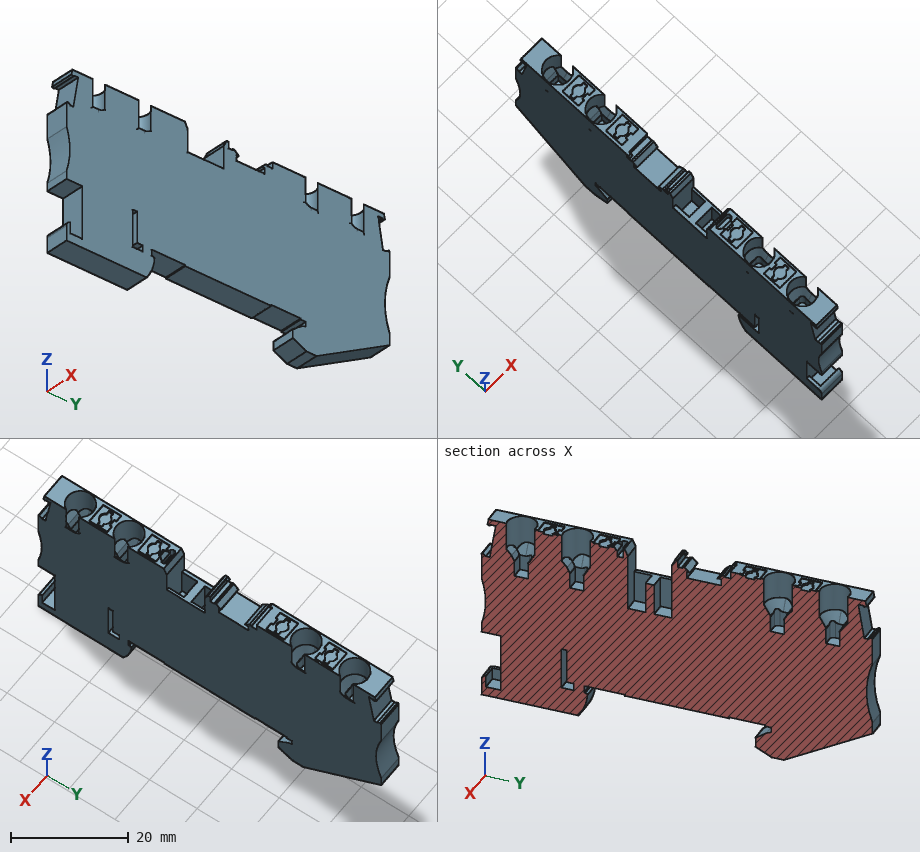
import cadquery as cq

WIDTH = 5.1
HALF_LENGTH = 36.1
HEIGHT = 35.2

INSERT_X = 2.7

LIP_Y = 35.0
LIP_TOP_Y = 34.8
LIP_BOTTOM = 34.15
LIP_BEAD_Y = 34.6
LIP_BEAD_Z = 33.9
BEAD_SIZE = 0.2
NECK_TOP_Y = 33.5
NECK_BOTTOM_Y = 34.6
STEP_Z = 27.8
STEP_Y = 35.2
LATCH_Z = 28.2
LATCH_Y = 35.9
LATCH_CHAMFER = 0.2

FRONT_HOLLOW = (14.2, 23.2, 0.7)
REAR_HOLLOW = (11.4, 22.95, 1.1)

UNDERSIDE_START_Z = 9.1
HOOK_FLAT_START_Y = 19.7
HOOK_FLAT_END_Y = 17.5
HOOK_NOSE_Y = 14.45
HOOK_NOSE_BOTTOM = 1.45
HOOK_NOSE_TOP = 3.25
HOOK_BREAK = (16.45, 4.7)
HOOK_ROOT = (17.3, 5.05)

SOFFIT_Z = 6.15
SOFFIT_PAD_Z = 5.9
SOFFIT_PAD_Y = 9.6
SOFFIT_STEP_Y = 16.2
SLOT_TOP = 12.5
SLOT_INNER_Y = -20.35
SLOT_OUTER_Y = -21.3
FOOT_TOP = 4.9
FOOT_TOP_Y = -16.9
FOOT_TIP = (-16.45, 4.6)
FOOT_CURVE_MIDDLE = (-17.05, 2.0)
FOOT_HEEL_Y = -18.2
NOTCH_Y = -32.55
NOTCH_BOTTOM = 4.0
TOE_ROUND = 0.9
TROUGH_WALL = 0.65
TROUGH_DEPTH = 2.2
LINK_START_X = 1.8
LINK_Y = -17.1
LINK_LENGTH = 1.95

MARKER_FLOOR = 32.1
MARKER_SHELF = 33.9
MARKER_BEAD_TOP = 34.15
MARKER_BEAD_TIP = 33.3
FRONT_BEAD_BACK_Y = 1.0
FRONT_BEAD_CREST_Y = 1.4
FRONT_BEAD_TIP_Y = 2.4
FRONT_MARKER_WALL_Y = 1.9
REAR_MARKER_WALL_Y = 8.15
REAR_BEAD_TIP_Y = 7.45
REAR_BEAD_CREST_Y = 8.4
REAR_BEAD_BACK_Y = 8.8
FRONT_LIP_TOP_Y = 0.1
REAR_LIP_TOP_Y = 9.45
LIP_TIP_Z = 34.8
FRONT_LIP_WALL_Y = 0.15
FRONT_LIP_TIP_Y = 0.6
REAR_LIP_TIP_Y = 9.1
REAR_LIP_WALL_Y = 9.9
LIP_TAB_WIDTH = 0.65
RECESS_START_Y = -1.0
RECESS_END_Y = -9.0
RECESS_FLOOR = 29.3
RECESS_CHAMFER = 0.65
WINDOW_WIDTH = 3.9
WINDOW_DEPTH = 5.8
BRIDGE_START_Y = -4.2
BRIDGE_END_Y = -5.8

PITCH = 10.25
INNER_FUNNEL_Y = 18.6
INNER_BUTTON_Y = INNER_FUNNEL_Y - PITCH / 2
FUNNEL_X = 2.8
FUNNEL_RADIUS = 2.7
FUNNEL_STRAIGHT = 5.05
FUNNEL_TAPER = 2.2
BORE_WIDTH = 2.95
BORE_INNER = 1.4
BORE_OUTER = 1.1
BORE_ROUND = 0.7
RAMP_BREAK = 1.65
BORE_DEPTH = 2.9
BUTTON_WIDTH = 4.05
BUTTON_LENGTH = 3.75
BUTTON_RECESS = 0.15
NIB_WIDTH = 1.3
NIB_LENGTH = 0.4
DRIVE_DEPTH = 0.35
DRIVE_RADIUS = 1.1
DRIVE_SLOT = 0.9
DRIVE_SLOT_LENGTH = 3.3

TEST_WIDTH = 3.2
TEST_START_Y = -9.95
TEST_END_Y = -11.0
TEST_TIP_Y = -11.7
TEST_TIP_WIDTH = 1.4
TEST_DEPTH = 1.8
TEST_RAMP_DEPTH = 0.7
TEST_ROUND = 0.35


def end_points(side):
    """Lip, neck and latch step from the top face down, for the end at side * Y."""
    points = [
        (LIP_TOP_Y, HEIGHT),
        (LIP_Y, LIP_BOTTOM),
        (LIP_BEAD_Y, LIP_BEAD_Z),
        (LIP_BEAD_Y - BEAD_SIZE, LIP_BOTTOM),
        (NECK_TOP_Y, LIP_BOTTOM),
        (NECK_BOTTOM_Y, STEP_Z),
        (STEP_Y, STEP_Z),
        (LATCH_Y, LATCH_Z),
        (HALF_LENGTH, LATCH_Z - LATCH_CHAMFER),
    ]
    return [(side * y, z) for y, z in points]


def add_lines(outline, points):
    """Continue an outline with straight lines through the points."""
    for point in points:
        outline = outline.lineTo(*point)
    return outline


def body():
    """Slab with the full side outline, running once round from the sloping underside."""
    front_bottom, front_top, front_depth = FRONT_HOLLOW
    rear_bottom, rear_top, rear_depth = REAR_HOLLOW
    marker_and_recess = [
        (RECESS_END_Y - RECESS_CHAMFER, HEIGHT),
        (RECESS_END_Y, MARKER_SHELF),
        (RECESS_END_Y, RECESS_FLOOR),
        (RECESS_START_Y, RECESS_FLOOR),
        (RECESS_START_Y, MARKER_SHELF),
        (RECESS_START_Y + RECESS_CHAMFER, HEIGHT),
        (FRONT_LIP_TOP_Y, HEIGHT),
        (FRONT_LIP_TIP_Y, LIP_TIP_Z),
        (FRONT_LIP_WALL_Y, LIP_TIP_Z),
        (FRONT_LIP_WALL_Y, MARKER_SHELF),
        (FRONT_BEAD_BACK_Y, MARKER_SHELF),
        (FRONT_BEAD_BACK_Y, MARKER_BEAD_TOP),
        (FRONT_BEAD_CREST_Y, MARKER_BEAD_TOP),
        (FRONT_BEAD_TIP_Y, MARKER_BEAD_TIP),
        (FRONT_MARKER_WALL_Y, MARKER_BEAD_TIP),
        (FRONT_MARKER_WALL_Y, MARKER_FLOOR),
        (REAR_MARKER_WALL_Y, MARKER_FLOOR),
        (REAR_MARKER_WALL_Y, MARKER_BEAD_TIP),
        (REAR_BEAD_TIP_Y, MARKER_BEAD_TIP),
        (REAR_BEAD_CREST_Y, MARKER_BEAD_TOP),
        (REAR_BEAD_BACK_Y, MARKER_BEAD_TOP),
        (REAR_BEAD_BACK_Y, MARKER_SHELF),
        (REAR_LIP_WALL_Y, MARKER_SHELF),
        (REAR_LIP_WALL_Y, LIP_TIP_Z),
        (REAR_LIP_TIP_Y, LIP_TIP_Z),
        (REAR_LIP_TOP_Y, HEIGHT),
    ]
    outline = cq.Workplane("YZ").moveTo(HALF_LENGTH, UNDERSIDE_START_Z)
    outline = add_lines(outline, [
        (HOOK_FLAT_START_Y, 0),
        (HOOK_FLAT_END_Y, 0),
        (HOOK_NOSE_Y, HOOK_NOSE_BOTTOM),
        (HOOK_NOSE_Y, HOOK_NOSE_TOP),
        HOOK_BREAK,
        HOOK_ROOT,
    ])
    outline = add_lines(outline, [
        (HOOK_ROOT[0], SOFFIT_PAD_Z),
        (SOFFIT_STEP_Y, SOFFIT_PAD_Z),
        (SOFFIT_STEP_Y, SOFFIT_Z),
        (SOFFIT_PAD_Y, SOFFIT_Z),
        (SOFFIT_PAD_Y, SOFFIT_PAD_Z),
        (-SOFFIT_PAD_Y, SOFFIT_PAD_Z),
        (-SOFFIT_PAD_Y, SOFFIT_Z),
        (SLOT_INNER_Y, SOFFIT_Z),
        (SLOT_INNER_Y, SLOT_TOP),
        (SLOT_OUTER_Y, SLOT_TOP),
        (SLOT_OUTER_Y, FOOT_TOP),
        (FOOT_TOP_Y, FOOT_TOP),
        FOOT_TIP,
    ])
    outline = outline.threePointArc(FOOT_CURVE_MIDDLE, (FOOT_HEEL_Y, 0))
    outline = add_lines(outline, [(-HALF_LENGTH, 0), (-HALF_LENGTH, NOTCH_BOTTOM - TOE_ROUND)])
    outline = outline.radiusArc((-HALF_LENGTH + TOE_ROUND, NOTCH_BOTTOM), TOE_ROUND)
    outline = add_lines(outline, [
        (NOTCH_Y, NOTCH_BOTTOM),
        (NOTCH_Y, SLOT_TOP),
        (-HALF_LENGTH, SLOT_TOP),
        (-HALF_LENGTH, front_bottom),
    ])
    front_middle = (-HALF_LENGTH + front_depth, (front_bottom + front_top) / 2)
    outline = outline.threePointArc(front_middle, (-HALF_LENGTH, front_top))
    outline = add_lines(outline, reversed(end_points(-1)))
    outline = add_lines(outline, marker_and_recess)
    outline = add_lines(outline, end_points(1))
    rear_middle = (HALF_LENGTH - rear_depth, (rear_bottom + rear_top) / 2)
    outline = outline.lineTo(HALF_LENGTH, rear_top)
    outline = outline.threePointArc(rear_middle, (HALF_LENGTH, rear_bottom))
    return outline.close().extrude(WIDTH)


def box(x, y, z_bottom, length_x, length_y, height):
    """Box centred on x and y, standing on z_bottom."""
    return (
        cq.Workplane("XY")
        .box(length_x, length_y, height, centered=(True, True, False))
        .translate((x, y, z_bottom))
    )


def foot_link():
    """Set-back link between the rail seat and the foot."""
    thickness = WIDTH - LINK_START_X
    return box(
        LINK_START_X + thickness / 2, LINK_Y - LINK_LENGTH / 2, FOOT_TOP,
        thickness, LINK_LENGTH, SOFFIT_Z - FOOT_TOP,
    )


def toe_trough():
    """Trough behind the rounded toe, open at the far side and walled at X = 0."""
    toe_back_y = -HALF_LENGTH + TOE_ROUND
    length_x = WIDTH - TROUGH_WALL
    return box(
        TROUGH_WALL + length_x / 2, (NOTCH_Y + toe_back_y) / 2, NOTCH_BOTTOM - TROUGH_DEPTH,
        length_x, NOTCH_Y - toe_back_y, TROUGH_DEPTH,
    )


def funnel(distance, side):
    """Wire entry: round mouth, a taper, then a bore with its inward corners rounded.

    The inward half tapers as a cone. The outward half has flat flanks and a
    two-step ramp as wide as the bore. It is shaped for the +Y end, then turned over
    to the other end when side is -1.
    """
    taper_top = HEIGHT - FUNNEL_STRAIGHT
    bore_top = taper_top - FUNNEL_TAPER
    bore_offset = INSERT_X - FUNNEL_X
    half_bore = BORE_WIDTH / 2
    mouth = cq.Workplane("XY", origin=(0, 0, taper_top)).circle(FUNNEL_RADIUS).extrude(FUNNEL_STRAIGHT)
    cone = (
        cq.Workplane("XY", origin=(0, 0, bore_top))
        .center(bore_offset, 0)
        .circle(half_bore)
        .workplane(offset=FUNNEL_TAPER)
        .center(-bore_offset, 0)
        .circle(FUNNEL_RADIUS)
        .loft()
    )
    flanks = (
        cq.Workplane("XZ")
        .polyline([
            (bore_offset - half_bore, bore_top),
            (bore_offset + half_bore, bore_top),
            (FUNNEL_RADIUS, taper_top),
            (-FUNNEL_RADIUS, taper_top),
        ])
        .close()
        .extrude(-FUNNEL_RADIUS)
    )
    ramp = (
        cq.Workplane("YZ", origin=(bore_offset - half_bore, 0, 0))
        .polyline([
            (BORE_OUTER, bore_top),
            (RAMP_BREAK, bore_top + FUNNEL_TAPER / 2),
            (FUNNEL_RADIUS, taper_top),
            (FUNNEL_RADIUS, bore_top),
        ])
        .close()
        .extrude(BORE_WIDTH)
    )
    round_limit = cq.Workplane("XY", origin=(0, 0, bore_top)).circle(FUNNEL_RADIUS).extrude(FUNNEL_TAPER)
    outward_half = flanks.cut(ramp).intersect(round_limit)
    outward_space = box(0, FUNNEL_RADIUS, bore_top, 2 * FUNNEL_RADIUS, 2 * FUNNEL_RADIUS, FUNNEL_TAPER)
    inward_half = cone.cut(outward_space)
    bore = box(
        bore_offset, (BORE_OUTER - BORE_INNER) / 2, bore_top - BORE_DEPTH,
        BORE_WIDTH, BORE_INNER + BORE_OUTER, BORE_DEPTH + FUNNEL_TAPER,
    ).faces("<Y").edges("|Z").fillet(BORE_ROUND)
    entry = mouth.union(outward_half).union(inward_half).union(bore)
    if side < 0:
        entry = entry.mirror("XZ")
    return entry.translate((FUNNEL_X, side * distance, 0))


def button(distance, side):
    """Shallow release button recess with a round-and-slot driver mark and an inward nib."""
    y = side * distance
    recess = box(INSERT_X, y, HEIGHT - BUTTON_RECESS, BUTTON_WIDTH, BUTTON_LENGTH, BUTTON_RECESS)
    nib_y = y - side * (BUTTON_LENGTH - NIB_LENGTH) / 2
    nib = box(INSERT_X, nib_y, HEIGHT - BUTTON_RECESS, NIB_WIDTH, NIB_LENGTH, BUTTON_RECESS)
    mark_bottom = HEIGHT - BUTTON_RECESS - DRIVE_DEPTH
    slot = box(INSERT_X, y, mark_bottom, DRIVE_SLOT_LENGTH, DRIVE_SLOT, DRIVE_DEPTH)
    disc = (
        cq.Workplane("XY", origin=(INSERT_X, y, mark_bottom))
        .circle(DRIVE_RADIUS)
        .extrude(DRIVE_DEPTH)
    )
    return recess.cut(nib).union(slot).union(disc)


def window(start_y, end_y):
    """Jumper window sunk below the recess floor."""
    return box(
        INSERT_X, (start_y + end_y) / 2, RECESS_FLOOR - WINDOW_DEPTH,
        WINDOW_WIDTH, start_y - end_y, WINDOW_DEPTH,
    )


def test_pocket():
    """Rounded pocket with a narrowing ramp on its outward side."""
    bottom = HEIGHT - TEST_DEPTH
    pocket = box(
        INSERT_X, (TEST_START_Y + TEST_END_Y) / 2, bottom,
        TEST_WIDTH, TEST_START_Y - TEST_END_Y, TEST_DEPTH,
    ).edges("|Z").fillet(TEST_ROUND)
    inner_half = TEST_WIDTH / 2 - TEST_ROUND
    tip_half = TEST_TIP_WIDTH / 2
    plan = (
        cq.Workplane("XY", origin=(INSERT_X, 0, bottom))
        .polyline([
            (-inner_half, TEST_END_Y),
            (inner_half, TEST_END_Y),
            (tip_half, TEST_TIP_Y),
            (-tip_half, TEST_TIP_Y),
        ])
        .close()
        .extrude(TEST_DEPTH)
    )
    ramp = (
        cq.Workplane("YZ")
        .polyline([(TEST_END_Y, HEIGHT - TEST_RAMP_DEPTH), (TEST_END_Y, HEIGHT), (TEST_TIP_Y, HEIGHT)])
        .close()
        .extrude(WIDTH)
    )
    return pocket.union(plan.intersect(ramp))


def lip_relief(start_y, end_y):
    """Cut a marker lip away, leaving a short tab next to the X = 0 face."""
    length_x = WIDTH - LIP_TAB_WIDTH
    return box(
        LIP_TAB_WIDTH + length_x / 2, (start_y + end_y) / 2, MARKER_SHELF,
        length_x, start_y - end_y, HEIGHT - MARKER_SHELF,
    )


result = body().union(foot_link()).cut(toe_trough())
for side in (1, -1):
    for offset in (0, PITCH):
        result = result.cut(funnel(INNER_FUNNEL_Y + offset, side))
        result = result.cut(button(INNER_BUTTON_Y + offset, side))
result = result.cut(window(RECESS_START_Y, BRIDGE_START_Y)).cut(window(BRIDGE_END_Y, RECESS_END_Y))
result = result.cut(test_pocket())
result = result.cut(lip_relief(REAR_LIP_WALL_Y, REAR_LIP_TIP_Y))
result = result.cut(lip_relief(FRONT_LIP_TIP_Y, FRONT_LIP_WALL_Y))